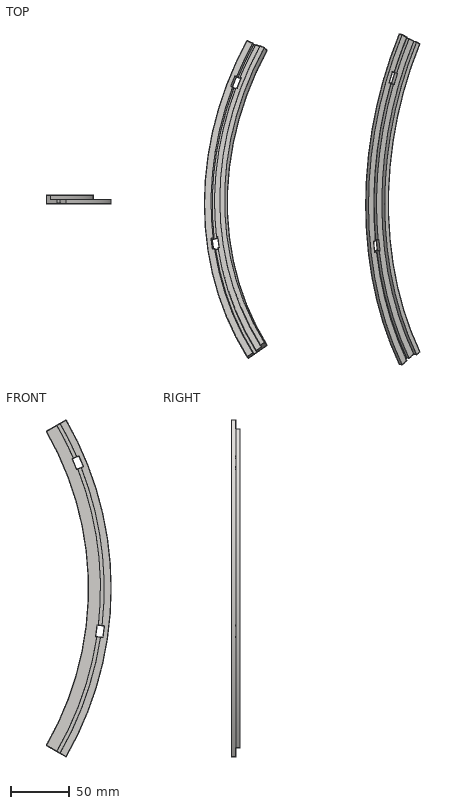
import cadquery as cq
import math

outer_radius = 290.0
strip_width = 19.7
half_angle = 30.0
depth = 7.5
plate_thickness = 3.8
flange_width = 4.4
groove_start = 10.5
groove_width = 3.2
groove_floor = 0.5
window_radius = 282.8
window_width = 6.0
window_length = 10.0
window_angles = (-7.5, 22.5)

inner_radius = outer_radius - strip_width
front_y = -depth / 2
arc_centre_x = -(outer_radius + inner_radius * math.cos(math.radians(half_angle))) / 2


def polar(radius, angle):
    """Point in the XZ plane, measured from the arc centre."""
    turn = math.radians(angle)
    return (arc_centre_x + radius * math.cos(turn), radius * math.sin(turn))


def arc_band(inner, outer, start_y, thickness):
    """Band between two radii, extruded toward +Y from start_y."""
    return (
        cq.Workplane("XZ", origin=(0, start_y, 0))
        .moveTo(*polar(inner, -half_angle))
        .lineTo(*polar(outer, -half_angle))
        .threePointArc(polar(outer, 0), polar(outer, half_angle))
        .lineTo(*polar(inner, half_angle))
        .threePointArc(polar(inner, 0), polar(inner, -half_angle))
        .close()
        .extrude(-thickness)
    )


def window(angle):
    """Rectangular cutter through the strip, turned to follow the arc."""
    x, z = polar(window_radius, angle)
    return (
        cq.Workplane("XY")
        .box(window_width, 2 * depth, window_length)
        .rotate((0, 0, 0), (0, 1, 0), -angle)
        .translate((x, 0, z))
    )


plate = arc_band(inner_radius, outer_radius, front_y, plate_thickness)
flange = arc_band(inner_radius, inner_radius + flange_width, front_y, depth)
groove_inner = inner_radius + groove_start
groove = arc_band(groove_inner, groove_inner + groove_width, front_y + groove_floor, depth)

result = plate.union(flange).cut(groove)
for window_angle in window_angles:
    result = result.cut(window(window_angle))